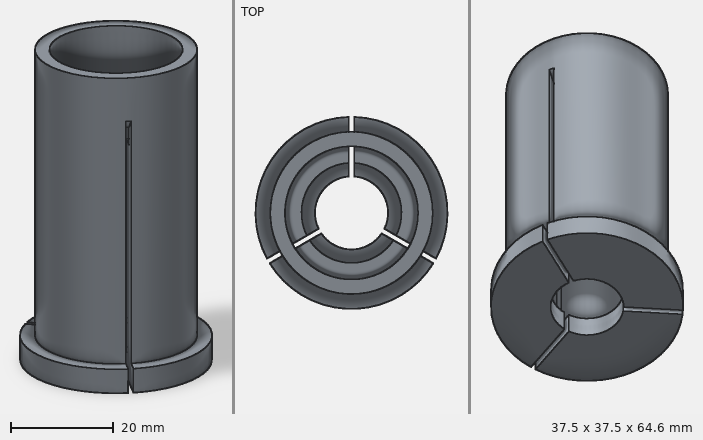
import cadquery as cq

total_height = 64.6
flange_diameter = 37.5
flange_height = 5.05
tube_diameter = 31.65
socket_diameter = 26.0
socket_depth = 15.05
counterbore_diameter = 19.5
bore_diameter = 14.2
slot_width = 1.05
slot_height = 55.55
slot_end_drop = 2.3
slot_count = 3
first_slot_angle = 90.0

counterbore_floor = flange_height
socket_floor = total_height - socket_depth


def cylinder(diameter, bottom, top):
    """Upright cylinder on the Z axis between two heights."""
    return cq.Workplane("XY").workplane(offset=bottom).circle(diameter / 2).extrude(top - bottom)


def radial_slot(angle):
    """Slot from the axis out past the flange, its closed end sloping down toward the bore."""
    tube_radius = tube_diameter / 2
    socket_radius = socket_diameter / 2
    end_slope = slot_end_drop / (tube_radius - socket_radius)
    profile = [
        (0, 0),
        (flange_diameter, 0),
        (flange_diameter, slot_height),
        (tube_radius, slot_height),
        (0, slot_height - end_slope * tube_radius),
    ]
    slot = cq.Workplane("XZ").polyline(profile).close().extrude(slot_width / 2, both=True)
    return slot.rotate((0, 0, 0), (0, 0, 1), angle)


body = cylinder(flange_diameter, 0, flange_height).union(cylinder(tube_diameter, 0, total_height))

body = body.cut(cylinder(bore_diameter, 0, total_height))
body = body.cut(cylinder(counterbore_diameter, counterbore_floor, total_height))
body = body.cut(cylinder(socket_diameter, socket_floor, total_height))

for index in range(slot_count):
    body = body.cut(radial_slot(first_slot_angle + index * 360 / slot_count))

result = body